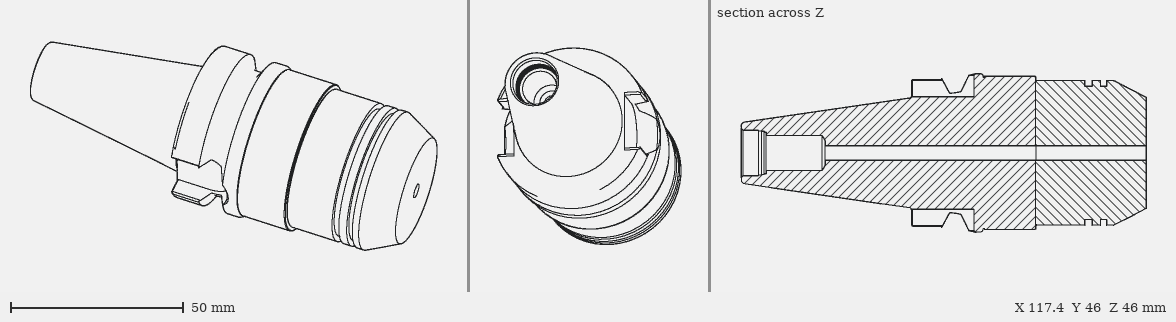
import cadquery as cq
import math


SHANK_TIP_FILLET = 1.3
TAPER_LENGTH = 48.1
TAPER_END_RADIUS = 15.8
TAPER_RATIO = 7 / 24
TAPER_TIP_RADIUS = TAPER_END_RADIUS - TAPER_LENGTH * TAPER_RATIO / 2

FLANGE_START = 49.3
FLANGE_ROOT_FILLET = 0.6
FLANGE_RADIUS = 23.0
FLANGE_FILLET = 0.9

GROOVE_START = 58.1
GROOVE_END = 66.0
GROOVE_FLOOR_RADIUS = 19.0
GROOVE_FLANK_ANGLE = 60
GROOVE_FLOOR_FILLET = 0.5
GROOVE_FLANK_LENGTH = (FLANGE_RADIUS - GROOVE_FLOOR_RADIUS) / math.tan(math.radians(GROOVE_FLANK_ANGLE))

COLLAR_END = 70.2
COLLAR_FILLET = 1.0
NECK_RADIUS = FLANGE_RADIUS - COLLAR_FILLET
NECK_LENGTH = 0.2
SLEEVE_RADIUS = 44.5 / 2
SLEEVE_END = 85.3
SLEEVE_END_CHAMFER = 0.2

OVERALL_LENGTH = 117.4
NUT_RADIUS = 42.0 / 2
NUT_BACK_CHAMFER = 0.2
NUT_GROOVE_RADIUS = 38.7 / 2
NUT_GROOVES = [(99.5, 101.7), (104.1, 105.9)]
NOSE_START = 107.9
NOSE_END_RADIUS = 16.1

SLOT_WIDTH = 15.8
SLOT_END = 67.4
SLOT_FLOOR_OFFSET = 16.3
SLOT_CHAMFER_WIDTH = 0.7
SLOT_CHAMFER_DEPTH = 0.4
SLOT_END_CHAMFER = 0.6

MOUTH_RADIUS = 14.3 / 2
MOUTH_DEPTH = 0.6
BORE_RADIUS = 13.1 / 2
BORE_DEPTH = 5.0
STEP_RADII = [12.7 / 2, 12.5 / 2]
STEP_LENGTH = 0.8
THREAD_ENTRY_RADIUS = 12.0 / 2
THREAD_ENTRY_DEPTH = 7.3
CORE_RADIUS = 10.1 / 2
CORE_DEPTH = 23.5
CORE_TIP_RADIUS = 7.0 / 2
CORE_TIP_HALF_ANGLE = 60
CORE_TIP_LENGTH = (CORE_RADIUS - CORE_TIP_RADIUS) / math.tan(math.radians(CORE_TIP_HALF_ANGLE))
COOLANT_RADIUS = 4.1 / 2

EDGE_TOLERANCE = 0.001


def turn(profile):
    """Revolve an XY half profile about the X axis."""
    return profile.close().revolve(360, (0, 0, 0), (1, 0, 0))


def coolant_hole():
    return cq.Workplane("YZ").circle(COOLANT_RADIUS).extrude(OVERALL_LENGTH)


def circle_at(body, x, radius):
    """Select the circular edge of a turned body that has this radius and place on the axis."""
    edges = [
        edge for edge in body.edges("%CIRCLE").vals()
        if abs(edge.Center().x - x) < EDGE_TOLERANCE and abs(edge.radius() - radius) < EDGE_TOLERANCE
    ]
    return body.newObject(edges)


def holder_blank():
    floor_start = GROOVE_START + GROOVE_FLANK_LENGTH
    floor_end = GROOVE_END - GROOVE_FLANK_LENGTH
    blank = turn(
        cq.Workplane("XY")
        .lineTo(0, TAPER_TIP_RADIUS)
        .lineTo(TAPER_LENGTH, TAPER_END_RADIUS)
        .lineTo(FLANGE_START, TAPER_END_RADIUS)
        .lineTo(FLANGE_START, FLANGE_RADIUS)
        .lineTo(GROOVE_START, FLANGE_RADIUS)
        .lineTo(floor_start, GROOVE_FLOOR_RADIUS)
        .lineTo(floor_end, GROOVE_FLOOR_RADIUS)
        .lineTo(GROOVE_END, FLANGE_RADIUS)
        .lineTo(COLLAR_END - COLLAR_FILLET, FLANGE_RADIUS)
        .radiusArc((COLLAR_END, NECK_RADIUS), COLLAR_FILLET)
        .lineTo(COLLAR_END + NECK_LENGTH, NECK_RADIUS)
        .lineTo(COLLAR_END + NECK_LENGTH, SLEEVE_RADIUS)
        .lineTo(SLEEVE_END, SLEEVE_RADIUS)
        .lineTo(SLEEVE_END, 0)
    )
    blank = circle_at(blank, 0, TAPER_TIP_RADIUS).fillet(SHANK_TIP_FILLET)
    blank = circle_at(blank, FLANGE_START, TAPER_END_RADIUS).fillet(FLANGE_ROOT_FILLET)
    blank = circle_at(blank, FLANGE_START, FLANGE_RADIUS).fillet(FLANGE_FILLET)
    for x in (floor_start, floor_end):
        blank = circle_at(blank, x, GROOVE_FLOOR_RADIUS).fillet(GROOVE_FLOOR_FILLET)
    return circle_at(blank, SLEEVE_END, SLEEVE_RADIUS).chamfer(SLEEVE_END_CHAMFER)


def slot_outline_cut():
    """Slot on the +Y side, flared at the flange face to chamfer its two front edges."""
    half_width = SLOT_WIDTH / 2
    flared_half_width = half_width + SLOT_CHAMFER_WIDTH
    flare_end = FLANGE_START + SLOT_CHAMFER_DEPTH
    return (
        cq.Workplane("XZ", origin=(0, SLOT_FLOOR_OFFSET, 0))
        .moveTo(FLANGE_START, -flared_half_width)
        .lineTo(flare_end, -half_width)
        .lineTo(SLOT_END - half_width, -half_width)
        .threePointArc((SLOT_END, 0), (SLOT_END - half_width, half_width))
        .lineTo(flare_end, half_width)
        .lineTo(FLANGE_START, flared_half_width)
        .close()
        .extrude(SLOT_FLOOR_OFFSET - FLANGE_RADIUS)
    )


def slot_rim_chamfers():
    """Wedge along the flange that chamfers the two long outer edges of the slot."""
    half_width = SLOT_WIDTH / 2
    rim_half_width = half_width + SLOT_CHAMFER_WIDTH
    rim_height = math.sqrt(FLANGE_RADIUS**2 - rim_half_width**2)
    chamfer_bottom = rim_height - SLOT_CHAMFER_DEPTH
    return (
        cq.Workplane("YZ", origin=(FLANGE_START, 0, 0))
        .moveTo(chamfer_bottom, -half_width)
        .lineTo(rim_height, -rim_half_width)
        .lineTo(FLANGE_RADIUS, -rim_half_width)
        .lineTo(FLANGE_RADIUS, rim_half_width)
        .lineTo(rim_height, rim_half_width)
        .lineTo(chamfer_bottom, half_width)
        .close()
        .extrude(GROOVE_START - FLANGE_START)
    )


def slot_end_chamfer():
    """Cone that chamfers the outer edge of the slot's round end in the collar."""
    end_radius = SLOT_WIDTH / 2
    base = cq.Vector(SLOT_END - end_radius, FLANGE_RADIUS - SLOT_END_CHAMFER, 0)
    cone = cq.Solid.makeCone(
        end_radius, end_radius + SLOT_END_CHAMFER, SLOT_END_CHAMFER, base, cq.Vector(0, 1, 0)
    )
    return cq.Workplane(cone)


def drive_slot():
    return slot_outline_cut().union(slot_rim_chamfers()).union(slot_end_chamfer())


def stepped_bore():
    profile = cq.Workplane("XY").lineTo(0, MOUTH_RADIUS)
    profile = profile.lineTo(MOUTH_DEPTH, BORE_RADIUS).lineTo(BORE_DEPTH, BORE_RADIUS)
    x = BORE_DEPTH
    for radius in STEP_RADII:
        profile = profile.lineTo(x, radius)
        x += STEP_LENGTH
        profile = profile.lineTo(x, radius)
    return turn(
        profile
        .lineTo(x, THREAD_ENTRY_RADIUS)
        .lineTo(THREAD_ENTRY_DEPTH, THREAD_ENTRY_RADIUS)
        .lineTo(THREAD_ENTRY_DEPTH, CORE_RADIUS)
        .lineTo(CORE_DEPTH, CORE_RADIUS)
        .lineTo(CORE_DEPTH + CORE_TIP_LENGTH, CORE_TIP_RADIUS)
        .lineTo(CORE_DEPTH + CORE_TIP_LENGTH, 0)
    )


def make_holder():
    slot = drive_slot()
    holder = holder_blank().cut(slot).cut(slot.mirror("XZ"))
    return holder.cut(stepped_bore()).cut(coolant_hole())


def make_nut():
    profile = (
        cq.Workplane("XY")
        .moveTo(SLEEVE_END, 0)
        .lineTo(SLEEVE_END, NUT_RADIUS - NUT_BACK_CHAMFER)
        .lineTo(SLEEVE_END + NUT_BACK_CHAMFER, NUT_RADIUS)
    )
    for start, end in NUT_GROOVES:
        profile = (
            profile
            .lineTo(start, NUT_RADIUS)
            .lineTo(start, NUT_GROOVE_RADIUS)
            .lineTo(end, NUT_GROOVE_RADIUS)
            .lineTo(end, NUT_RADIUS)
        )
    profile = (
        profile
        .lineTo(NOSE_START, NUT_RADIUS)
        .lineTo(OVERALL_LENGTH, NOSE_END_RADIUS)
        .lineTo(OVERALL_LENGTH, 0)
    )
    return turn(profile).cut(coolant_hole())


holder = make_holder()
nut = make_nut()
result = cq.Compound.makeCompound([holder.val(), nut.val()])